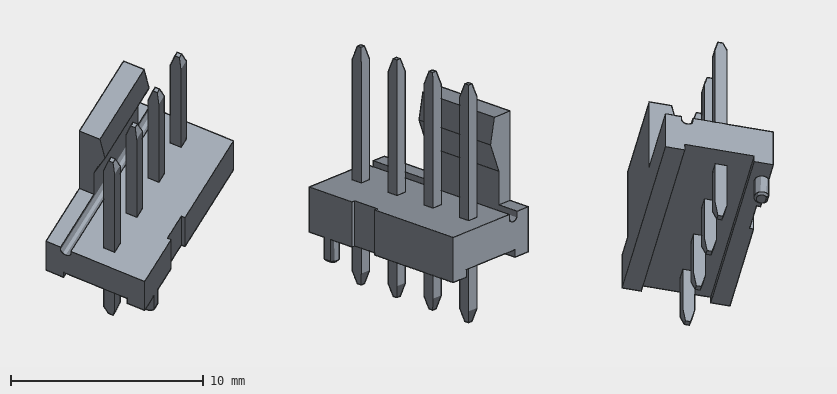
import cadquery as cq

overall_height = 13.35
pin_count = 4
pin_pitch = 2.54

base_depth = 5.75
base_length = 10.2
base_height = 2.54
foot_depth = 1.03
foot_height = 0.43

latch_start = -pin_pitch / 2
latch_length = 2 * pin_pitch
latch_height = 5.02
latch_thickness = 0.85
latch_top_thickness = 1.2
latch_nose_thickness = 1.5
latch_nose_height = 3.55
latch_ramp_height = 1.88

groove_width = 0.6
groove_depth = 0.5

notch_center = -pin_pitch / 2
notch_length = 1.6
notch_depth = 0.21

pin_x = 3.19
pin_width = 0.64
pin_tip_width = 0.27
pin_tip_length = 0.73
pin_tail = 3.31

peg_diameter = 0.8
peg_trim = 0.07
peg_length = 1.34
peg_chamfer = 0.12

first_pin_y = -pin_pitch * (pin_count - 1) / 2


def extrude_along_y(profile, y_start, length):
    """Extrude an XZ profile from y_start toward +Y."""
    return profile.extrude(-length).translate((0, y_start, 0))


def make_base():
    """Block on two feet, with the relief groove running along its top."""
    groove_start = latch_thickness
    groove_end = groove_start + groove_width
    groove_radius = groove_width / 2
    arc_z = base_height - groove_depth + groove_radius
    profile = (
        cq.Workplane("XZ")
        .lineTo(foot_depth, 0)
        .lineTo(foot_depth, foot_height)
        .lineTo(base_depth - foot_depth, foot_height)
        .lineTo(base_depth - foot_depth, 0)
        .lineTo(base_depth, 0)
        .lineTo(base_depth, base_height)
        .lineTo(groove_end, base_height)
        .lineTo(groove_end, arc_z)
        .threePointArc(
            (groove_start + groove_radius, base_height - groove_depth),
            (groove_start, arc_z),
        )
        .lineTo(groove_start, base_height)
        .lineTo(0, base_height)
        .close()
    )
    return extrude_along_y(profile, -base_length / 2, base_length)


def make_latch():
    """Upright wall with a locking nose facing the pins."""
    profile = (
        cq.Workplane("XZ", origin=(0, 0, base_height))
        .lineTo(latch_thickness, 0)
        .lineTo(latch_thickness, latch_ramp_height)
        .lineTo(latch_nose_thickness, latch_nose_height)
        .lineTo(latch_top_thickness, latch_height)
        .lineTo(0, latch_height)
        .close()
    )
    return extrude_along_y(profile, latch_start, latch_length)


def make_notch():
    """Cutter for the notch through the full height of the +X side."""
    return (
        cq.Workplane("XY")
        .center(base_depth, notch_center)
        .rect(2 * notch_depth, notch_length)
        .extrude(base_height)
    )


def make_pin_tip(z_shoulder, direction):
    """Tapered pin end; direction is 1 for the upper end, -1 for the lower."""
    return (
        cq.Workplane("XY", origin=(0, 0, z_shoulder))
        .rect(pin_width, pin_width)
        .workplane(offset=direction * pin_tip_length)
        .rect(pin_tip_width, pin_tip_width)
        .loft(combine=True)
    )


def make_pin():
    """Square pin with both ends tapered."""
    lower_shoulder = -pin_tail + pin_tip_length
    upper_shoulder = overall_height - pin_tail - pin_tip_length
    shaft = (
        cq.Workplane("XY", origin=(0, 0, lower_shoulder))
        .rect(pin_width, pin_width)
        .extrude(upper_shoulder - lower_shoulder)
    )
    upper_tip = make_pin_tip(upper_shoulder, 1)
    lower_tip = make_pin_tip(lower_shoulder, -1)
    return shaft.union(upper_tip).union(lower_tip)


def make_peg():
    """Peg under the +X foot with a flat on its +X side, chamfered at its lower end."""
    peg_x = base_depth + peg_trim - peg_diameter / 2
    cylinder = (
        cq.Workplane("XY")
        .center(peg_x, first_pin_y)
        .circle(peg_diameter / 2)
        .extrude(-peg_length)
        .faces("<Z")
        .chamfer(peg_chamfer)
    )
    flat_block = (
        cq.Workplane("XY")
        .center(base_depth - peg_diameter / 2, first_pin_y)
        .rect(peg_diameter, peg_diameter)
        .extrude(-peg_length)
        .faces("<Z")
        .edges(">X")
        .chamfer(peg_chamfer)
    )
    return cylinder.intersect(flat_block)


result = make_base().union(make_latch()).cut(make_notch()).union(make_peg())
pin = make_pin()
for index in range(pin_count):
    pin_y = first_pin_y + index * pin_pitch
    result = result.union(pin.translate((pin_x, pin_y, 0)))